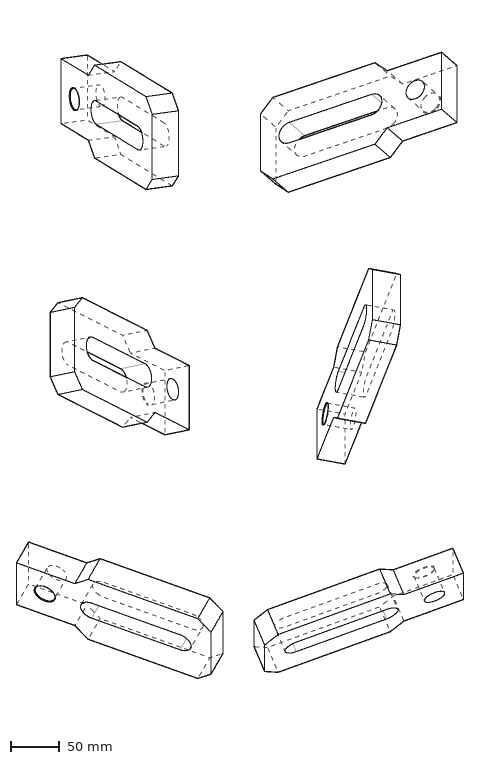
import cadquery as cq

length = 220.0
height = 100.0
thickness = 30.0
corner_cut = 15.0

neck_length = 66.0
neck_height = height - 2 * corner_cut

hole_x = 32.0
hole_diameter = 22.376
hole_mouth_diameter = 24.0
hole_chamfer = (hole_mouth_diameter - hole_diameter) / 2

slot_width = 25.0
slot_length = 125.0
slot_end_wall = 22.5
slot_center_x = length - slot_end_wall - slot_length / 2


def make_plate():
    """Plate outline mirrored about Z = 0, with its front face at Y = 0."""
    upper_outline = [
        (0, neck_height / 2),
        (neck_length, neck_height / 2),
        (neck_length + corner_cut, height / 2),
        (length - corner_cut, height / 2),
        (length, height / 2 - corner_cut),
    ]
    lower_outline = [(x, -z) for x, z in reversed(upper_outline)]
    return (
        cq.Workplane("XZ")
        .polyline(upper_outline + lower_outline)
        .close()
        .extrude(-thickness)
    )


def make_neck_hole():
    """Cutter for the neck hole: a straight bore with a 45 degree conical mouth at Y = 0."""
    bore = cq.Workplane("XZ").center(hole_x, 0).circle(hole_diameter / 2).extrude(-thickness)
    mouth = cq.Solid.makeCone(
        hole_mouth_diameter / 2,
        hole_diameter / 2,
        hole_chamfer,
        cq.Vector(hole_x, 0, 0),
        cq.Vector(0, 1, 0),
    )
    return bore.union(cq.Workplane(mouth))


def make_slot():
    """Cutter for the round-ended slot along X."""
    return (
        cq.Workplane("XZ")
        .center(slot_center_x, 0)
        .slot2D(slot_length, slot_width)
        .extrude(-thickness)
    )


result = make_plate().cut(make_neck_hole()).cut(make_slot())